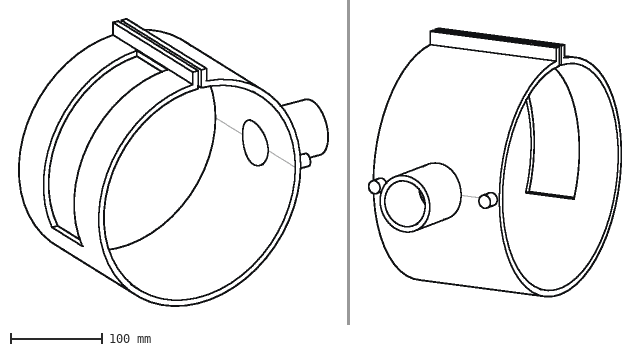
import cadquery as cq

band_width = 160.0
outer_radius = 132.0
wall = 7.0
inner_radius = outer_radius - wall

split_gap = 4.0
flange_thickness = 7.0
flange_top = 146.7

window_width = 61.0
window_bottom = -53.0
window_back = -10.0

pipe_diameter = 63.0
pipe_bore = 51.0
pipe_end = 332.0 - outer_radius

pin_diameter = 14.5
pin_end = 146.7
pin_offset = 70.0


def rod_along_x(radius):
    return cq.Workplane("YZ", origin=(-band_width / 2, 0, 0)).circle(radius).extrude(band_width)


def rod_along_y(diameter, end, x=0):
    """Rod from the band's axis plane out to the rear."""
    return cq.Workplane("XZ").center(x, 0).circle(diameter / 2).extrude(-end)


def box_from_bottom(width, depth, height, y_center, z_bottom):
    """Box centred on X = 0 and standing on z_bottom."""
    box = cq.Workplane("XY").box(width, depth, height, centered=(True, True, False))
    return box.translate((0, y_center, z_bottom))


body = rod_along_x(outer_radius)
flange_span = split_gap + 2 * flange_thickness
body = body.union(box_from_bottom(band_width, flange_span, flange_top, 0, 0))
body = body.union(rod_along_y(pipe_diameter, pipe_end))
for side in (-1, 1):
    body = body.union(rod_along_y(pin_diameter, pin_end, side * pin_offset))

body = body.cut(rod_along_x(inner_radius))
body = body.cut(box_from_bottom(band_width, split_gap, flange_top, 0, 0))
body = body.cut(rod_along_y(pipe_bore, pipe_end))

window_depth = outer_radius
window_height = outer_radius - window_bottom
window_center = window_back - window_depth / 2
window = box_from_bottom(window_width, window_depth, window_height, window_center, window_bottom)

result = body.cut(window).clean()